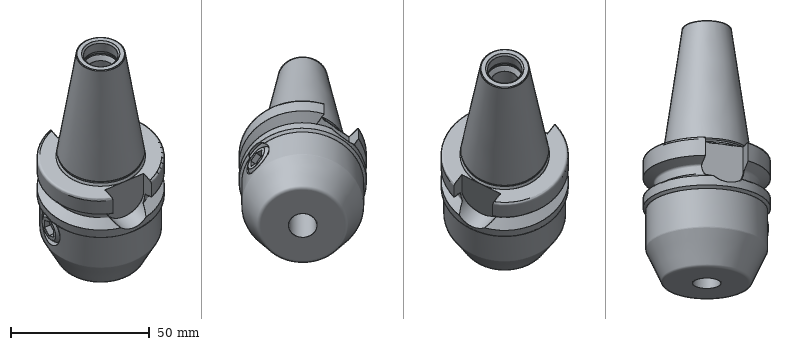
import cadquery as cq
import math

cut_clearance = 1.0

total_height = 98.4
gauge_z = 50.0
neck_top_z = 49.5
neck_bottom_z = 48.8
flange_top_z = 47.9
upper_rim_bottom_z = 40.5
groove_top_z = 38.4
groove_bottom_z = 34.8
lower_rim_top_z = 32.7
flange_bottom_z = 28.0
nose_top_z = 13.0

taper_top_radius = 8.9
gauge_radius = 15.8
neck_radius = 15.4
neck_foot_radius = 16.1
flange_diameter = 46.0
flange_radius = flange_diameter / 2
groove_radius = 18.9
body_diameter = 44.0
body_radius = body_diameter / 2
nose_radius = 16.0

flange_round = 1.0
flange_step = flange_radius - body_radius
nose_round = 1.4
shoulder_round = 1.0
groove_top_round = 0.8
groove_bottom_round = 0.3
taper_top_chamfer = 0.3

bore_radius = 5.1
counterbore_radius = 6.2
counterbore_depth = 4.7
relief_radius = 6.7
relief_flare = 1.4
relief_length = 0.7
relief_lip = 0.4
mouth_radius = 6.9
mouth_depth = 0.7

slot_width = 16.3
slot_bottom_z = 30.7
slot_face_x = 16.1

screw_z = 22.6
screw_radius = 5.8
screw_face_radius = 4.6
countersink_radius = 7.0
screw_root = body_radius - (countersink_radius - screw_radius)
screw_overlap = 1.0
hex_across_flats = 6.0
hex_depth = 3.9


def turned_body():
    """Taper, grooved flange and clamping nose revolved about Z."""
    outline = [
        (0, 0),
        (nose_radius, 0),
        (body_radius, nose_top_z),
        (body_radius, flange_bottom_z),
        (flange_radius, flange_bottom_z + flange_step),
        (flange_radius, lower_rim_top_z),
        (groove_radius, groove_bottom_z),
        (groove_radius, groove_top_z),
        (flange_radius, upper_rim_bottom_z),
        (flange_radius, flange_top_z),
        (neck_foot_radius, flange_top_z),
        (neck_radius, neck_bottom_z),
        (neck_radius, neck_top_z),
        (gauge_radius, gauge_z),
        (taper_top_radius, total_height),
        (0, total_height),
    ]
    body = cq.Workplane("XZ").polyline(outline).close().revolve(360, (0, 0, 0), (0, 1, 0))
    body = body.faces("<Z").edges().fillet(nose_round)
    body = body.edges(circle_at(body_radius, nose_top_z)).fillet(shoulder_round)
    body = body.edges(circle_at(groove_radius, groove_top_z)).fillet(groove_top_round)
    body = body.edges(circle_at(groove_radius, groove_bottom_z)).fillet(groove_bottom_round)
    body = body.edges(circle_at(flange_radius, flange_top_z)).fillet(flange_round)
    return body.faces(">Z").edges().chamfer(taper_top_chamfer)


def circle_at(radius, z, margin=0.1):
    """Selector for edges at height z whose extent matches a circle of the given radius."""
    outer = radius + margin
    inner = radius - margin
    within_outer = cq.selectors.BoxSelector(
        (-outer, -outer, z - margin), (outer, outer, z + margin), boundingbox=True
    )
    within_inner = cq.selectors.BoxSelector(
        (-inner, -inner, z - margin), (inner, inner, z + margin), boundingbox=True
    )
    return within_outer - within_inner


def axial_bore():
    """Through bore with a chamfered counterbore and relief groove at the taper end."""
    counterbore_z = total_height - counterbore_depth
    relief_top_z = counterbore_z - relief_flare
    relief_bottom_z = relief_top_z - relief_length
    cone_top_z = relief_bottom_z - relief_lip
    cone_bottom_z = cone_top_z - (counterbore_radius - bore_radius)
    outline = [
        (0, 0),
        (bore_radius, 0),
        (bore_radius, cone_bottom_z),
        (counterbore_radius, cone_top_z),
        (relief_radius, relief_bottom_z),
        (relief_radius, relief_top_z),
        (counterbore_radius, counterbore_z),
        (counterbore_radius, total_height - mouth_depth),
        (mouth_radius, total_height),
        (0, total_height),
    ]
    return cq.Workplane("XZ").polyline(outline).close().revolve(360, (0, 0, 0), (0, 1, 0))


def drive_slot(side):
    """Round-bottomed slot cut inward from the +X (1) or -X (-1) side."""
    half_width = slot_width / 2
    arc_z = slot_bottom_z + half_width
    return (
        cq.Workplane("YZ", origin=(side * slot_face_x, 0, 0))
        .moveTo(-half_width, flange_top_z)
        .lineTo(-half_width, arc_z)
        .threePointArc((0, slot_bottom_z), (half_width, arc_z))
        .lineTo(half_width, flange_top_z)
        .close()
        .extrude(side * (flange_radius - slot_face_x + cut_clearance))
    )


def revolved_about_screw(outline):
    """Solid of revolution about the screw axis from (radius, distance from Z) points."""
    return (
        cq.Workplane("XY", origin=(0, 0, screw_z))
        .polyline([(radius, -distance) for radius, distance in outline])
        .close()
        .revolve(360, (0, 0, 0), (0, 1, 0))
    )


def screw_recess():
    """45 degree countersink that opens straight through the flange rim."""
    outside = flange_radius + cut_clearance
    return revolved_about_screw([
        (0, screw_root),
        (screw_radius, screw_root),
        (countersink_radius, body_radius),
        (countersink_radius, outside),
        (0, outside),
    ])


def screw_head():
    """Bevelled screw end, its face level with the body surface."""
    return revolved_about_screw([
        (0, screw_root - screw_overlap),
        (screw_radius, screw_root - screw_overlap),
        (screw_radius, screw_root),
        (screw_face_radius, body_radius),
        (0, body_radius),
    ])


def hex_socket():
    """Hexagonal key socket in the screw head, corners up and down."""
    corner_diameter = hex_across_flats / math.cos(math.pi / 6)
    return (
        cq.Workplane("XZ", origin=(0, hex_depth - body_radius, screw_z))
        .transformed(rotate=(0, 0, 90))
        .polygon(6, corner_diameter)
        .extrude(hex_depth + cut_clearance)
    )


result = turned_body().cut(axial_bore())
for slot_side in (-1, 1):
    result = result.cut(drive_slot(slot_side))
result = result.cut(screw_recess()).union(screw_head()).cut(hex_socket())